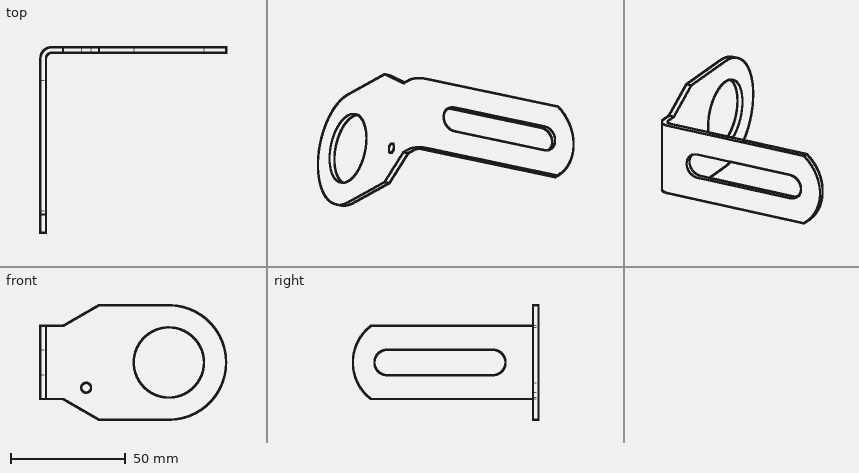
import cadquery as cq
import math

thickness = 2.54
inner_bend_radius = thickness
outer_bend_radius = inner_bend_radius + thickness
leg_length = 81.0
strip_width = 32.0

plate_width = 50.0
plate_end_radius = plate_width / 2
ring_center_x = leg_length - plate_end_radius
ring_hole_diameter = 30.5
taper_start_x = 10.0
taper_angle = 30.0
small_hole_x = 20.0
small_hole_z = -11.0
small_hole_diameter = 4.2

slot_leg_end_radius = 20.0
slot_width = 11.0
slot_first_center = 20.0
slot_last_center = 66.0

half_strip = strip_width / 2
half_plate = plate_width / 2


def make_ring_plate():
    """Flat leg with its back face on Y = 0, starting where the bend ends."""
    taper_length = (half_plate - half_strip) / math.tan(math.radians(taper_angle))
    taper_end_x = taper_start_x + taper_length
    plate = (
        cq.Workplane("XZ")
        .moveTo(outer_bend_radius, -half_strip)
        .lineTo(taper_start_x, -half_strip)
        .lineTo(taper_end_x, -half_plate)
        .lineTo(ring_center_x, -half_plate)
        .threePointArc((leg_length, 0), (ring_center_x, half_plate))
        .lineTo(taper_end_x, half_plate)
        .lineTo(taper_start_x, half_strip)
        .lineTo(outer_bend_radius, half_strip)
        .close()
        .extrude(thickness)
    )
    ring_hole = (
        cq.Workplane("XZ")
        .center(ring_center_x, 0)
        .circle(ring_hole_diameter / 2)
        .extrude(thickness)
    )
    small_hole = (
        cq.Workplane("XZ")
        .center(small_hole_x, small_hole_z)
        .circle(small_hole_diameter / 2)
        .extrude(thickness)
    )
    return plate.cut(ring_hole).cut(small_hole)


def make_slotted_leg():
    """Flat leg with its outer face on X = 0, starting where the bend ends."""
    end_arc_height = slot_leg_end_radius - math.sqrt(slot_leg_end_radius**2 - half_strip**2)
    straight_end_y = -(leg_length - end_arc_height)
    leg = (
        cq.Workplane("YZ")
        .moveTo(-outer_bend_radius, -half_strip)
        .lineTo(straight_end_y, -half_strip)
        .threePointArc((-leg_length, 0), (straight_end_y, half_strip))
        .lineTo(-outer_bend_radius, half_strip)
        .close()
        .extrude(thickness)
    )
    slot_center_y = -(slot_first_center + slot_last_center) / 2
    slot_length = slot_last_center - slot_first_center + slot_width
    slot = (
        cq.Workplane("YZ")
        .center(slot_center_y, 0)
        .slot2D(slot_length, slot_width)
        .extrude(thickness)
    )
    return leg.cut(slot)


def make_bend():
    """Quarter-round bend that joins the two legs."""
    diagonal = math.sqrt(0.5)
    outer_mid = outer_bend_radius - outer_bend_radius * diagonal
    inner_mid = outer_bend_radius - inner_bend_radius * diagonal
    return (
        cq.Workplane("XY")
        .workplane(offset=-half_strip)
        .moveTo(0, -outer_bend_radius)
        .threePointArc((outer_mid, -outer_mid), (outer_bend_radius, 0))
        .lineTo(outer_bend_radius, -thickness)
        .threePointArc((inner_mid, -inner_mid), (thickness, -outer_bend_radius))
        .close()
        .extrude(strip_width)
    )


result = make_bend().union(make_ring_plate()).union(make_slotted_leg())